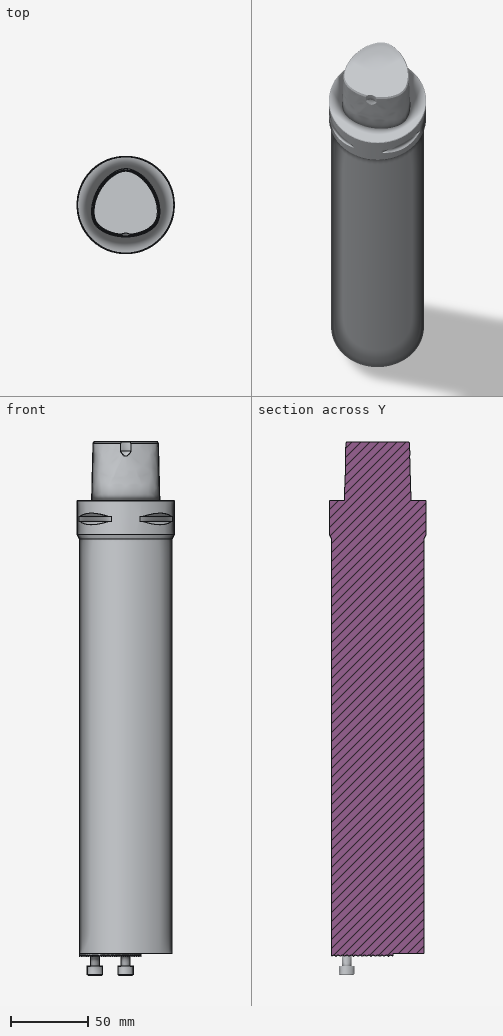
import cadquery as cq
import math

shank_length = 38.0
total_length = 345.0
body_length = 293.0
disc_thickness = 1.8
flange_height = 22.0
neck_bottom = 25.0

flange_diameter = 63.0
body_diameter = 60.0

flange_edge_chamfer = 0.4
grip_groove_height = 3.2
grip_groove_mouth = 7.5
grip_groove_depth = 3.75
grip_groove_flare_depth = 2.8
grip_groove_center_z = -12.0
grip_groove_count = 4

shank_width = 44.15
lobe_height = 1.4
taper_ratio = 1 / 20
lobe_count = 3
outline_points = 48
tip_chamfer_height = 1.3
tip_chamfer_inset = 0.7

notch_diameter = 9.6
notch_straight_depth = 6.2
notch_point_angle = 58
notch_floor_y = -18.15

disc_diameter = 40.0
disc_offset_x = -10.0
serration_pitch = 2.0
serration_depth = 1.0
serration_crest_drop = 0.05
serration_angles = (45, 135)
screw_pitch = 19.8
screw_diameter = 6.0
screw_head_diameter = 10.0
screw_head_height = 6.0
screw_head_chamfer = 0.7

flange_radius = flange_diameter / 2
screw_bottom_z = shank_length - total_length
disc_bottom_z = -body_length - disc_thickness


def lobed_outline(z, width):
    """Constant-width three-lobed curve with one lobe pointing to +Y."""
    points = []
    for i in range(outline_points):
        angle = 2 * math.pi * i / outline_points
        support = width / 2 + lobe_height * math.cos(lobe_count * angle)
        slope = -lobe_count * lobe_height * math.sin(lobe_count * angle)
        along = support * math.cos(angle) - slope * math.sin(angle)
        across = support * math.sin(angle) + slope * math.cos(angle)
        points.append(cq.Vector(-across, along, z))
    return cq.Wire.assembleEdges([cq.Edge.makeSpline(points, periodic=True)])


def make_shank():
    """Tapered three-lobed shank with a chamfered tip."""
    tip_z = shank_length - tip_chamfer_height
    tip_width = shank_width - tip_z * taper_ratio
    base = lobed_outline(0, shank_width)
    shoulder = lobed_outline(tip_z, tip_width)
    tip = lobed_outline(shank_length, tip_width - 2 * tip_chamfer_inset)
    taper = cq.Workplane(cq.Solid.makeLoft([base, shoulder], True))
    return taper.union(cq.Workplane(cq.Solid.makeLoft([shoulder, tip], True)))


def make_notch():
    """Vertical drill with a conical point that breaks out through the flat side."""
    radius = notch_diameter / 2
    point_length = radius / math.tan(math.radians(notch_point_angle / 2))
    straight_end_z = shank_length - notch_straight_depth
    return (
        cq.Workplane("XZ", origin=(0, notch_floor_y - radius, 0))
        .moveTo(0, shank_length)
        .lineTo(radius, shank_length)
        .lineTo(radius, straight_end_z)
        .lineTo(0, straight_end_z - point_length)
        .close()
        .revolve(360, (0, 0, 0), (0, 1, 0))
    )


def make_body():
    """Flange, tapered neck and long cylinder as one turned profile."""
    chamfer_radius = flange_radius - flange_edge_chamfer
    profile = [
        (0, 0),
        (chamfer_radius, 0),
        (flange_radius, -flange_edge_chamfer),
        (flange_radius, -flange_height),
        (body_diameter / 2, -neck_bottom),
        (body_diameter / 2, -body_length),
        (0, -body_length),
    ]
    return cq.Workplane("XZ").polyline(profile).close().revolve(360, (0, 0, 0), (0, 1, 0))


def make_grip_groove():
    """Straight cutter across +X: parallel walls that flare toward the rim."""
    inner_x = flange_radius - grip_groove_depth
    flare_x = flange_radius - grip_groove_flare_depth
    half_floor = grip_groove_height / 2
    half_mouth = grip_groove_mouth / 2
    return (
        cq.Workplane("XZ", origin=(0, flange_radius, grip_groove_center_z))
        .moveTo(inner_x, -half_floor)
        .lineTo(flare_x, -half_floor)
        .lineTo(flange_radius, -half_mouth)
        .lineTo(flange_radius, half_mouth)
        .lineTo(flare_x, half_floor)
        .lineTo(inner_x, half_floor)
        .close()
        .extrude(flange_diameter)
    )


def make_serration_cutter():
    """Row of V-grooves along X that open downward, joined by a strip below the disc face.

    The cutter sits slightly low, which leaves the crests blunt instead of knife-edged.
    """
    half_width = disc_diameter / 2 + serration_pitch
    groove_count = round(2 * half_width / serration_pitch)
    outline = [(half_width, -serration_depth), (-half_width, -serration_depth), (-half_width, 0)]
    for i in range(groove_count):
        groove_start = -half_width + i * serration_pitch
        outline.append((groove_start + serration_pitch / 2, serration_depth))
        outline.append((groove_start + serration_pitch, 0))
    return (
        cq.Workplane("YZ", origin=(-half_width, 0, 0))
        .polyline(outline)
        .close()
        .extrude(2 * half_width)
        .translate((0, 0, -serration_crest_drop))
    )


def make_disc():
    """Coupling disc whose lower face is serrated by two crossing sets of diagonal grooves."""
    disc = cq.Workplane("XY").circle(disc_diameter / 2).extrude(disc_thickness)
    for angle in serration_angles:
        disc = disc.cut(make_serration_cutter().rotate((0, 0, 0), (0, 0, 1), angle))
    return disc.translate((disc_offset_x, 0, disc_bottom_z))


def make_screw(x, y):
    """Cap screw hanging head down from the body end face."""
    head = (
        cq.Workplane("XY", origin=(x, y, screw_bottom_z))
        .circle(screw_head_diameter / 2)
        .extrude(screw_head_height)
        .faces("<Z")
        .chamfer(screw_head_chamfer)
    )
    stem = (
        cq.Workplane("XY", origin=(x, y, screw_bottom_z))
        .circle(screw_diameter / 2)
        .extrude(-body_length - screw_bottom_z)
    )
    return head.union(stem)


result = make_body()
for quarter in range(grip_groove_count):
    groove_angle = (quarter + 0.5) * 360 / grip_groove_count
    result = result.cut(make_grip_groove().rotate((0, 0, 0), (0, 0, 1), groove_angle))
result = result.union(make_shank()).cut(make_notch()).union(make_disc())
for side in (-1, 1):
    screw_x = disc_offset_x + side * screw_pitch / 2
    screw_y = -side * screw_pitch / 2
    result = result.union(make_screw(screw_x, screw_y))